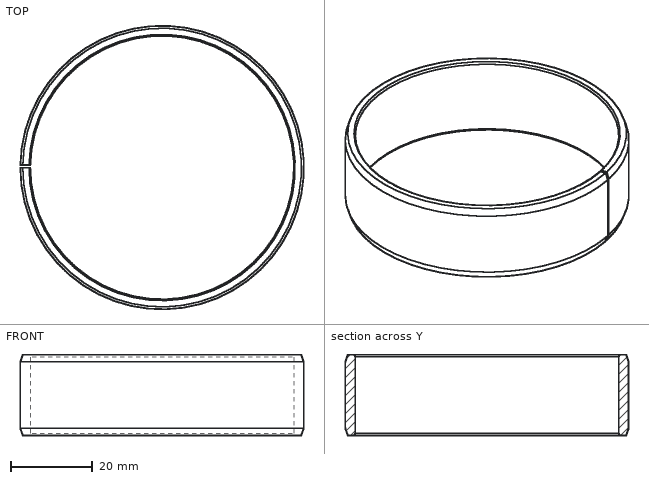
import cadquery as cq

outer_diameter = 70.0
wall = 2.5
height = 20.0
bevel_height = 1.8
bevel_depth = 0.6
inner_chamfer_height = 0.55
inner_chamfer_depth = 0.35
slit_angle = 1.0

outer_radius = outer_diameter / 2
inner_radius = outer_radius - wall

top = height / 2
upper_section = [
    (-inner_radius, top - inner_chamfer_height),
    (-inner_radius - inner_chamfer_depth, top),
    (-outer_radius + bevel_depth, top),
    (-outer_radius, top - bevel_height),
]
lower_section = [(x, -z) for x, z in reversed(upper_section)]

result = (
    cq.Workplane("XZ")
    .polyline(upper_section + lower_section)
    .close()
    .revolve(360 - slit_angle, (0, 0), (0, 1))
)